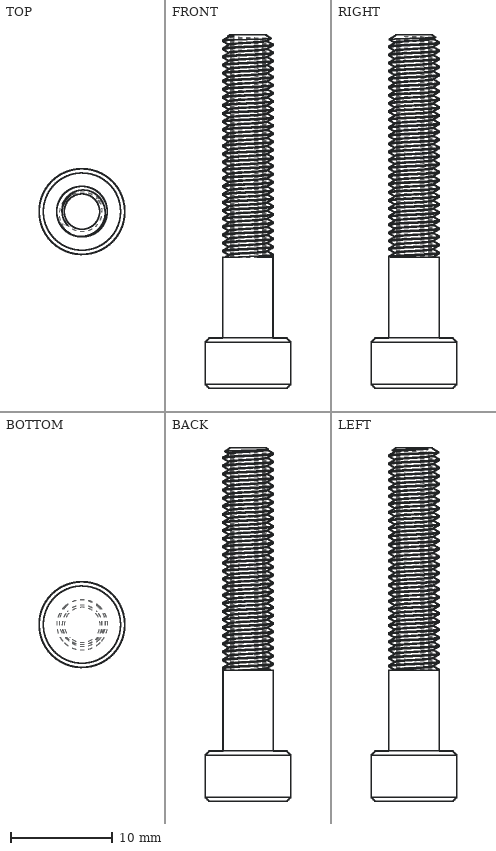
import cadquery as cq
import math

THREAD_DIAMETER = 5.0
PITCH = 0.8
SCREW_LENGTH = 30.0
PLAIN_SHANK_LENGTH = 8.0
TIP_RADIUS = 1.75
TIP_CHAMFER_HEIGHT = 0.5
ENVELOPE_MARGIN = 0.4

HEAD_DIAMETER = 8.5
HEAD_HEIGHT = THREAD_DIAMETER
HEAD_CHAMFER = 0.425

FLANK_HALF_ANGLE = math.radians(30)
CREST_FLAT = PITCH / 8
GROOVE_DEPTH = 0.54
CUTTER_OVERLAP = 0.04
RUNOUT = 2 * PITCH
GROOVE_PHASE = 0.6

shank_radius = THREAD_DIAMETER / 2
thread_start = HEAD_HEIGHT + PLAIN_SHANK_LENGTH
thread_length = SCREW_LENGTH - PLAIN_SHANK_LENGTH
total_height = HEAD_HEIGHT + SCREW_LENGTH

groove_start = thread_start + GROOVE_PHASE - RUNOUT
groove_height = thread_length + 2 * RUNOUT
rod_start = groove_start - RUNOUT
rod_height = groove_height + 2 * RUNOUT


def make_head():
    head = cq.Workplane("XY").circle(HEAD_DIAMETER / 2).extrude(HEAD_HEIGHT)
    return head.faces("<Z or >Z").chamfer(HEAD_CHAMFER)


def make_plain_shank():
    return cq.Workplane("XY").circle(shank_radius).extrude(thread_start)


def make_groove():
    """Right-handed helical V groove with a narrow flat root."""
    root_radius = shank_radius - GROOVE_DEPTH
    outer_radius = shank_radius + CUTTER_OVERLAP
    flank_slope = math.tan(FLANK_HALF_ANGLE)
    outer_half_width = (PITCH - CREST_FLAT) / 2 + CUTTER_OVERLAP * flank_slope
    root_half_width = outer_half_width - (outer_radius - root_radius) * flank_slope

    section = [
        (root_radius, 0, root_half_width),
        (outer_radius, 0, outer_half_width),
        (outer_radius, 0, -outer_half_width),
        (root_radius, 0, -root_half_width),
    ]
    section_wire = cq.Wire.makePolygon([cq.Vector(*point) for point in section], close=True)
    helix = cq.Wire.makeHelix(PITCH, groove_height, shank_radius)
    groove = cq.Solid.sweep(section_wire, [], helix, isFrenet=True)
    return groove.translate(cq.Vector(0, 0, groove_start))


def make_thread_envelope():
    """Space the thread may fill: a wide cylinder closed by the tip cone."""
    envelope_radius = shank_radius + ENVELOPE_MARGIN
    cone_slope = TIP_CHAMFER_HEIGHT / (shank_radius - TIP_RADIUS)
    cone_base = total_height - cone_slope * (envelope_radius - TIP_RADIUS)
    outline = [
        (0, thread_start),
        (envelope_radius, thread_start),
        (envelope_radius, cone_base),
        (TIP_RADIUS, total_height),
        (0, total_height),
    ]
    profile = cq.Workplane("XZ").polyline(outline).close()
    return profile.revolve(360, (0, 0, 0), (0, 1, 0))


def make_thread():
    """Cut the groove wholly inside a longer rod, then trim the rod to length."""
    rod = cq.Workplane("XY", origin=(0, 0, rod_start)).circle(shank_radius).extrude(rod_height)
    return rod.cut(cq.Workplane(make_groove())).intersect(make_thread_envelope())


result = make_head().union(make_plain_shank()).union(make_thread())